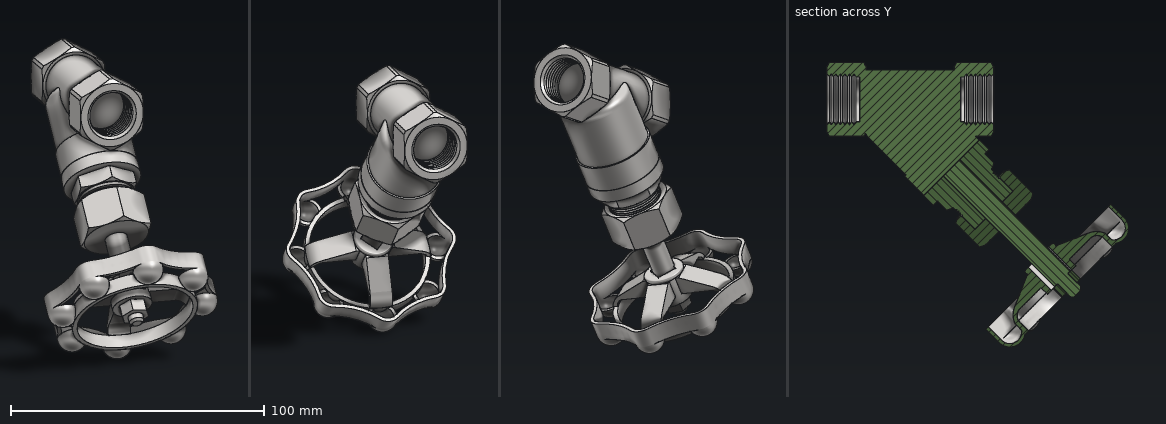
import cadquery as cq
import math

end_hex_flats = 26.0
end_hex_corner_radius = 14.6
end_hex_length = 15.7
body_length = 66.0
pipe_radius = 11.65
hex_face_radius = 12.9
chamfer_slope = math.tan(math.radians(30))

port_depth = 13.0
port_minor_radius = 8.8
port_major_radius = 10.0
port_pitch = 1.8

branch_x = 22.3
branch_start = 2.3
branch_radius = 14.8
branch_round = 4.0
branch_step = 27.4
branch_mouth_radius = 15.5
branch_end = 38.3

collar_radius = 15.65
collar_end = 43.6
bonnet_hex_flats = 23.0
bonnet_hex_end = 49.7
neck_radius = 10.8
neck_plain_end = 51.4
neck_thread_depth = 0.6
neck_pitch = 1.0
neck_end = 62.0

gland_offset = 0.6
gland_flats = 26.0
gland_start = 53.7
gland_end = 69.3

stem_offset = 0.0
stem_radius = 4.5
stem_thread_radius = 3.0
stem_end = 108.5
stem_tip_chamfer = 1.0

wheel_offset = -0.6
wheel_radius = 35.0
lobe_count = 8
rim_wall = 1.5
rim_top = 92.8
rim_bottom = 100.3
lobe_radius = 6.1
valley_radius = 30.0
ring_outer_radius = 25.3
ring_inner_radius = 23.4
ring_top = 99.6
ring_bottom = 105.3
flange_radius = 8.2
flange_top = 87.4
flange_thickness = 2.0
flange_round = 0.9
hub_radius = 8.0
spoke_count = 4
spoke_width = 9.2
spoke_root_radius = 8.0
spoke_root_top = 89.1
spoke_bend_radius = 20.8
spoke_bend_top = 94.7
spoke_bottom = 96.7
spoke_lower_bend_radius = 18.6
square_hole_side = 8.0

wheel_nut_flats = 10.0
wheel_nut_clocking = 22.0
wheel_nut_end = 105.3


def cylinder(radius, start, end):
    return cq.Workplane("XY", origin=(0, 0, start)).circle(radius).extrude(end - start)


def hexagon(flats, start, end):
    """Hexagonal prism along Z with two corners on the local X axis."""
    corners_across = flats / math.cos(math.radians(30))
    return cq.Workplane("XY", origin=(0, 0, start)).polygon(6, corners_across).extrude(end - start)


def turned(points):
    """Solid of revolution about Z from (radius, height) points."""
    return cq.Workplane("XZ").polyline(points).close().revolve(360, (0, 0, 0), (0, 1, 0))


def corner_turning(face_radius, outer_radius, start, end, chamfer_start=True):
    """Turned envelope that chamfers the corners of a hexagon."""
    drop = (outer_radius - face_radius) * chamfer_slope
    low_corner = [(face_radius, start), (outer_radius, start + drop)]
    if not chamfer_start:
        low_corner = [(outer_radius, start)]
    high_corner = [(outer_radius, end - drop), (face_radius, end)]
    return turned([(0, start), *low_corner, *high_corner, (0, end)])


def groove(inner_radius, outer_radius, height, pitch, pointing_out):
    """One ring of V-shaped thread groove, nearly one pitch wide at its open side."""
    open_radius, root_radius = outer_radius, inner_radius
    if pointing_out:
        open_radius, root_radius = inner_radius, outer_radius
    half = pitch * 0.45
    return turned([(open_radius, height - half), (root_radius, height), (open_radius, height + half)])


def place_on_branch(part):
    """Move a part built along Z onto the leaning branch axis."""
    branch_plane = cq.Plane(origin=(branch_x, 0, 0), xDir=(1, 0, 1), normal=(1, 0, -1))
    return part.val().moved(cq.Location(branch_plane))


def place_on_pipe(part):
    """Move a part built along Z onto the run pipe axis, its local X pointing up."""
    return part.val().moved(cq.Location(cq.Plane(origin=(0, 0, 0), xDir=(0, 0, 1), normal=(1, 0, 0))))


def make_end_hexagon(start):
    end = start + end_hex_length
    envelope = corner_turning(hex_face_radius, end_hex_corner_radius, start, end)
    return hexagon(end_hex_flats, start, end).intersect(envelope)


def make_port():
    """Threaded blind port opening at height 0."""
    lead_in = port_major_radius - port_minor_radius
    port = turned([
        (0, 0), (port_major_radius, 0), (port_minor_radius, lead_in),
        (port_minor_radius, port_depth), (0, port_depth),
    ])
    height = port_pitch
    while height + port_pitch < port_depth:
        port = port.union(groove(port_minor_radius, port_major_radius, height, port_pitch, True))
        height += port_pitch
    return port


def make_branch():
    lower = cylinder(branch_radius, branch_start, branch_step).faces("<Z").edges().fillet(branch_round)
    return lower.union(cylinder(branch_mouth_radius, branch_step, branch_end))


def make_body():
    run = cylinder(pipe_radius, 0, body_length)
    run = run.union(make_end_hexagon(0)).union(make_end_hexagon(body_length - end_hex_length))
    body = cq.Workplane(place_on_pipe(run)).union(cq.Workplane(place_on_branch(make_branch())))
    inlet = cq.Workplane(place_on_pipe(make_port()))
    outlet = inlet.mirror("YZ", (body_length / 2, 0, 0))
    return body.cut(inlet).cut(outlet)


def make_bonnet():
    corner_radius = bonnet_hex_flats / 2 / math.cos(math.radians(30))
    envelope = corner_turning(bonnet_hex_flats / 2, corner_radius, collar_end, bonnet_hex_end, False)
    bonnet = cylinder(collar_radius, branch_end, collar_end)
    bonnet = bonnet.union(hexagon(bonnet_hex_flats, collar_end, bonnet_hex_end).intersect(envelope))
    bonnet = bonnet.union(cylinder(neck_radius, bonnet_hex_end, neck_end))
    height = neck_plain_end
    while height < gland_start + neck_pitch:
        bonnet = bonnet.cut(groove(neck_radius - neck_thread_depth, neck_radius, height, neck_pitch, False))
        height += neck_pitch
    return bonnet


def make_gland_nut():
    corner_radius = gland_flats / 2 / math.cos(math.radians(30))
    envelope = corner_turning(gland_flats / 2, corner_radius, gland_start, gland_end)
    nut = hexagon(gland_flats, gland_start, gland_end).intersect(envelope)
    return nut.translate((gland_offset, 0, 0)).cut(cylinder(neck_radius, gland_start, neck_end))


def make_square_hole():
    side = square_hole_side
    hole = cq.Workplane("XY", origin=(0, 0, flange_top)).rect(side, side).extrude(rim_bottom - flange_top)
    return hole.rotate((0, 0, 0), (0, 0, 1), 45).translate((wheel_offset, 0, 0))


def make_stem():
    def on_stem_axis(part):
        return part.translate((stem_offset, 0, 0))

    shank = on_stem_axis(cylinder(stem_radius, branch_end, flange_top))
    squared = on_stem_axis(cylinder(stem_radius, flange_top, rim_bottom)).intersect(make_square_hole())
    tail = cylinder(stem_thread_radius, rim_bottom, stem_end).faces(">Z").chamfer(stem_tip_chamfer)
    return shank.union(squared).union(on_stem_axis(tail))


lobe_center = wheel_radius - lobe_radius
half_step = math.pi / lobe_count
valley_center = lobe_center * math.cos(half_step) + math.sqrt(
    (lobe_radius + valley_radius) ** 2 - (lobe_center * math.sin(half_step)) ** 2
)
lobe_half_angle = math.atan2(
    valley_center * math.sin(half_step),
    valley_center * math.cos(half_step) - lobe_center,
)


def polar(radius, angle):
    return (radius * math.cos(angle), radius * math.sin(angle))


def lobe_point(inset, turn, lobe_angle):
    """Point of a lobe arc, turned away from the lobe's middle."""
    center = polar(lobe_center, lobe_angle)
    reach = polar(lobe_radius - inset, lobe_angle + turn)
    return (center[0] + reach[0], center[1] + reach[1])


def rim_prism(inset):
    """Wavy prism whose outline lies inset from the rim's outer surface."""
    outline = cq.Workplane("XY", origin=(0, 0, rim_top)).moveTo(*lobe_point(inset, -lobe_half_angle, 0))
    valley_bottom = valley_center - valley_radius - inset
    for index in range(lobe_count):
        angle = 2 * half_step * index
        next_angle = angle + 2 * half_step
        outline = outline.threePointArc(
            lobe_point(inset, 0, angle), lobe_point(inset, lobe_half_angle, angle)
        )
        outline = outline.threePointArc(
            polar(valley_bottom, angle + half_step), lobe_point(inset, -lobe_half_angle, next_angle)
        )
    return outline.close().extrude(rim_bottom - rim_top)


def around(part, count):
    """Copies of a part spaced evenly about Z."""
    copies = cq.Workplane()
    for index in range(count):
        copies = copies.add(part.rotate((0, 0, 0), (0, 0, 1), 360 * index / count))
    return copies


def lower_bowl(radius):
    """Half sphere hanging below the rim at the first lobe, trimmed flush with the ring's bore."""
    ball = cq.Workplane("XY").sphere(radius).intersect(cylinder(radius, 0, radius))
    bowl = ball.translate((lobe_center, 0, rim_bottom))
    return bowl.cut(cylinder(ring_inner_radius, rim_bottom, rim_bottom + radius))


def make_spoke():
    """Sloping arm that bends down into the ring."""
    bend_run = ring_inner_radius - spoke_lower_bend_radius
    bend_drop = ring_top - spoke_bottom
    lower_bend_middle = (
        spoke_lower_bend_radius + bend_run * math.sin(math.pi / 4),
        ring_top - bend_drop * math.sin(math.pi / 4),
    )
    return (
        cq.Workplane("XZ", origin=(0, spoke_width / 2, 0))
        .moveTo(0, spoke_bottom)
        .lineTo(0, spoke_root_top)
        .lineTo(spoke_root_radius, spoke_root_top)
        .lineTo(spoke_bend_radius, spoke_bend_top)
        .tangentArcPoint((ring_outer_radius, ring_top), relative=False)
        .lineTo(ring_inner_radius, ring_top)
        .threePointArc(lower_bend_middle, (spoke_lower_bend_radius, spoke_bottom))
        .close()
        .extrude(spoke_width)
    )


def make_handwheel():
    wheel = rim_prism(0).cut(rim_prism(rim_wall))
    ring = cylinder(ring_outer_radius, ring_top, ring_bottom)
    ring = ring.cut(cylinder(ring_inner_radius, ring_top, ring_bottom))
    for bowl in around(lower_bowl(lobe_radius), lobe_count).vals():
        wheel = wheel.union(cq.Workplane(bowl))
    for hollow in around(lower_bowl(lobe_radius - rim_wall), lobe_count).vals():
        wheel = wheel.cut(cq.Workplane(hollow))
    wheel = wheel.union(ring)
    wheel = wheel.union(cylinder(hub_radius, flange_top + flange_thickness / 2, rim_bottom))
    for spoke in around(make_spoke(), spoke_count).vals():
        wheel = wheel.union(cq.Workplane(spoke))
    flange = cylinder(flange_radius, flange_top, flange_top + flange_thickness)
    flange = flange.edges().fillet(flange_round)
    wheel = wheel.union(flange)
    return wheel.translate((wheel_offset, 0, 0)).cut(make_square_hole())


def make_wheel_nut():
    nut = hexagon(wheel_nut_flats, rim_bottom, wheel_nut_end)
    nut = nut.rotate((0, 0, 0), (0, 0, 1), wheel_nut_clocking)
    nut = nut.cut(cylinder(stem_thread_radius, rim_bottom, wheel_nut_end))
    return nut.translate((stem_offset, 0, 0))


stem = make_stem()
body = make_body()
bonnet = place_on_branch(make_bonnet().cut(stem))
gland_nut = place_on_branch(make_gland_nut().cut(stem))
handwheel = place_on_branch(make_handwheel())
wheel_nut = place_on_branch(make_wheel_nut())
stem = place_on_branch(stem)

result = cq.Compound.makeCompound([body.val(), bonnet, gland_nut, stem, handwheel, wheel_nut])